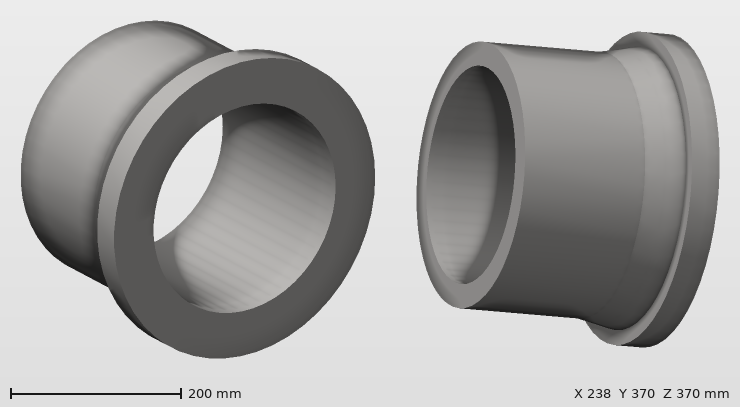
import cadquery as cq

total_length = 238.0
flange_thickness = 35.5
hub_length = 48.0
pipe_length = total_length - hub_length - flange_thickness

flange_diameter = 370.0
hub_diameter = 335.0
pipe_diameter = 315.0
bore_diameter = 258.0

hub_start = pipe_length
flange_start = hub_start + hub_length

wall_section = (
    cq.Workplane("XY")
    .moveTo(0, bore_diameter / 2)
    .lineTo(0, pipe_diameter / 2)
    .lineTo(hub_start, pipe_diameter / 2)
    .lineTo(flange_start, hub_diameter / 2)
    .lineTo(flange_start, flange_diameter / 2)
    .lineTo(total_length, flange_diameter / 2)
    .lineTo(total_length, bore_diameter / 2)
    .close()
)

result = wall_section.revolve(360, (0, 0, 0), (1, 0, 0))